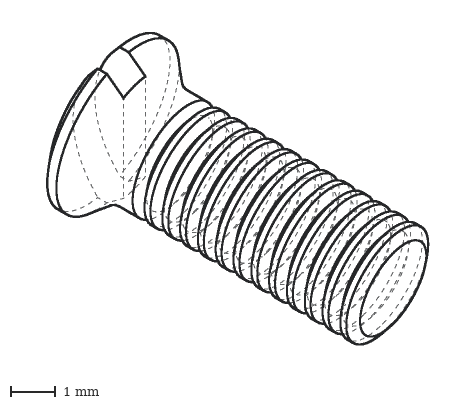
import cadquery as cq
import math

length = 8.68
head_radius = 2.25
shank_radius = 1.5
rim_end = 0.95
neck_end = 1.97
neck_fillet_radius = 0.7
cone_angle = math.radians(45)
slot_width = 0.8
slot_depth = 1.415
dome_radius = 3.92
dome_center = math.sqrt(dome_radius**2 - (slot_width / 2) ** 2)
rim_start = dome_center - math.sqrt(dome_radius**2 - head_radius**2)

thread_start = 2.68
ring_count = 12
pitch = (length - thread_start) / ring_count
flank_length = pitch / 3
flank_angle = math.radians(60)
root_radius = shank_radius - flank_length * math.tan(flank_angle)


def neck_point(angle):
    """Point on the concave neck fillet, at an angle back from its shank end."""
    x = neck_end - neck_fillet_radius * math.sin(angle)
    radius = shank_radius + neck_fillet_radius * (1 - math.cos(angle))
    return x, radius


def make_body():
    """Revolve the head, neck and thread profile about the X axis."""
    mid_angle = math.asin(head_radius / dome_radius) / 2
    dome_mid = (dome_center - dome_radius * math.cos(mid_angle), dome_radius * math.sin(mid_angle))
    profile = (
        cq.Workplane("XY")
        .moveTo(dome_center - dome_radius, 0)
        .threePointArc(dome_mid, (rim_start, head_radius))
        .lineTo(rim_end, head_radius)
        .lineTo(*neck_point(cone_angle))
        .threePointArc(neck_point(cone_angle / 2), (neck_end, shank_radius))
        .lineTo(thread_start - flank_length, shank_radius)
        .lineTo(thread_start, root_radius)
    )
    for ring in range(ring_count):
        ring_start = thread_start + ring * pitch
        ring_end = ring_start + pitch
        profile = (
            profile.lineTo(ring_start + flank_length, shank_radius)
            .lineTo(ring_end - flank_length, shank_radius)
            .lineTo(ring_end, root_radius)
        )
    return profile.lineTo(length, 0).close().revolve(360, (0, 0, 0), (1, 0, 0))


def make_slot():
    """Driver slot running across the whole head along Z."""
    cutter_length = 2 * slot_depth
    cutter_height = 3 * head_radius
    return cq.Workplane("XY").box(cutter_length, slot_width, cutter_height)


result = make_body().cut(make_slot())